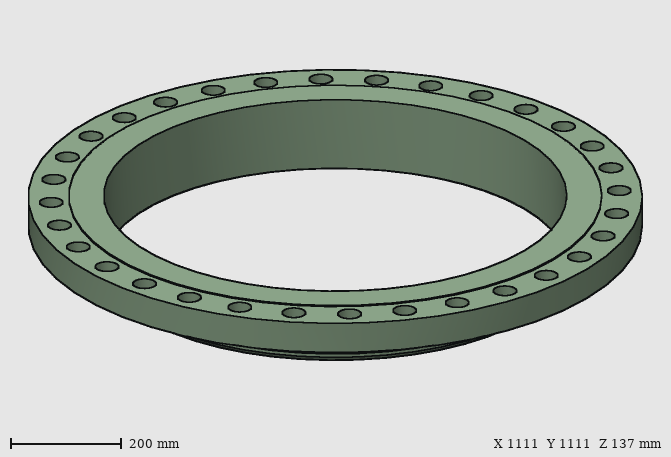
import cadquery as cq
import math

flange_diameter = 1111.0
total_height = 137.0
bore_diameter = 838.0

raised_face_diameter = 965.0
raised_face_height = 2.0
flange_thickness = 58.0

neck_radius = 430.0
neck_height = 7.0
bevel_height = 10.0
weld_land_width = 2.0
root_fillet_radius = 11.0
cone_angle = math.radians(31)

bolt_count = 32
bolt_circle_diameter = 1029.0
bolt_hole_diameter = 42.0

flange_radius = flange_diameter / 2
bore_radius = bore_diameter / 2
raised_face_radius = raised_face_diameter / 2
flange_top = total_height - raised_face_height
flange_bottom = flange_top - flange_thickness
neck_top = bevel_height + neck_height

fillet_center_z = flange_bottom - root_fillet_radius
fillet_bottom = fillet_center_z + root_fillet_radius * math.sin(cone_angle)
hub_top_radius = neck_radius + (fillet_bottom - neck_top) * math.tan(cone_angle)
fillet_center_radius = hub_top_radius + root_fillet_radius * math.cos(cone_angle)

fillet_mid_angle = (math.pi - cone_angle + math.pi / 2) / 2
fillet_middle = (
    fillet_center_radius + root_fillet_radius * math.cos(fillet_mid_angle),
    fillet_center_z + root_fillet_radius * math.sin(fillet_mid_angle),
)


def flange_body():
    """Revolve the half section of the flange, hub and weld bevel about Z."""
    section = (
        cq.Workplane("XZ")
        .moveTo(bore_radius, 0)
        .lineTo(bore_radius + weld_land_width, 0)
        .lineTo(neck_radius, bevel_height)
        .lineTo(neck_radius, neck_top)
        .lineTo(hub_top_radius, fillet_bottom)
        .threePointArc(fillet_middle, (fillet_center_radius, flange_bottom))
        .lineTo(flange_radius, flange_bottom)
        .lineTo(flange_radius, flange_top)
        .lineTo(raised_face_radius, flange_top)
        .lineTo(raised_face_radius, total_height)
        .lineTo(bore_radius, total_height)
        .close()
    )
    return section.revolve(360, (0, 0, 0), (0, 1, 0))


def bolt_holes():
    """Cylinders through the flange, evenly spaced on the bolt circle."""
    return (
        cq.Workplane("XY")
        .polarArray(bolt_circle_diameter / 2, 0, 360, bolt_count)
        .circle(bolt_hole_diameter / 2)
        .extrude(total_height)
    )


result = flange_body().cut(bolt_holes())